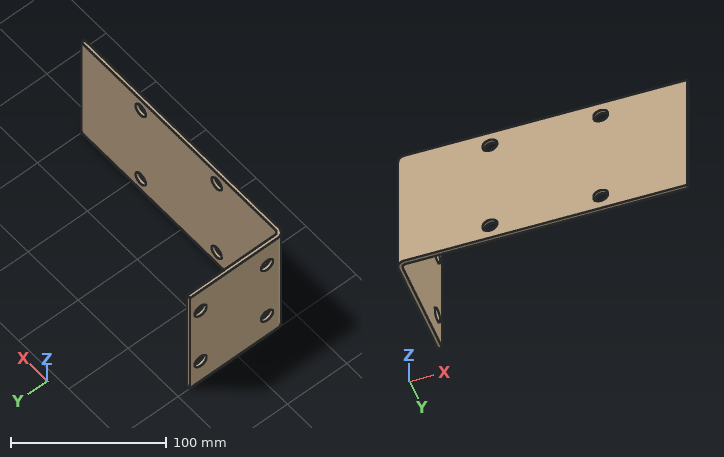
import cadquery as cq

length = 200.0
depth = 80.0
height = 100.0

thickness = 3.0
inner_bend_radius = 3.0
outer_bend_radius = inner_bend_radius + thickness

hole_diameter = 10.0
long_leg_spacing = 76.0
long_leg_pattern_x = 102.8
short_leg_spacing = 56.0
short_leg_pattern_y = 43.0


def bent_sheet():
    """L-shaped sheet with its outer corner at the origin, extruded upwards."""
    outline = (
        cq.Workplane("XY")
        .moveTo(0, 0)
        .lineTo(length, 0)
        .lineTo(length, thickness)
        .lineTo(thickness, thickness)
        .lineTo(thickness, depth)
        .lineTo(0, depth)
        .close()
        .extrude(height)
    )
    outer_corner = cq.selectors.NearestToPointSelector((0, 0, height / 2))
    inner_corner = cq.selectors.NearestToPointSelector((thickness, thickness, height / 2))
    rounded = outline.edges("|Z").edges(inner_corner).fillet(inner_bend_radius)
    return rounded.edges("|Z").edges(outer_corner).fillet(outer_bend_radius)


def hole_pins(plane, pattern_centre, spacing, reach):
    """Four cutting cylinders on a square pattern, crossing the plane both ways."""
    return (
        cq.Workplane(plane)
        .center(pattern_centre, height / 2)
        .rarray(spacing, spacing, 2, 2)
        .circle(hole_diameter / 2)
        .extrude(reach, both=True)
    )


pin_reach = 2 * thickness
long_leg_holes = hole_pins("XZ", long_leg_pattern_x, long_leg_spacing, pin_reach)
short_leg_holes = hole_pins("YZ", short_leg_pattern_y, short_leg_spacing, pin_reach)

result = bent_sheet().cut(long_leg_holes).cut(short_leg_holes)